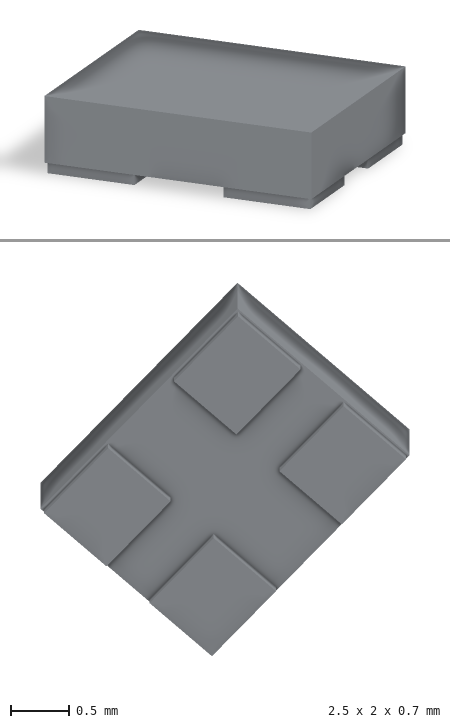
import cadquery as cq

LENGTH = 2.5
WIDTH = 2.0
TOTAL_HEIGHT = 0.7

PAD_LENGTH = 0.812
PAD_WIDTH = 0.725
PAD_THICKNESS = 0.1
PAD_INSET_X = 0.02
PAD_INSET_Y = 0.025

HOUSING_HEIGHT = TOTAL_HEIGHT - PAD_THICKNESS
PAD_CENTER_X = LENGTH / 2 - PAD_INSET_X - PAD_LENGTH / 2
PAD_CENTER_Y = WIDTH / 2 - PAD_INSET_Y - PAD_WIDTH / 2


def make_housing():
    """Plain block resting on top of the pads."""
    return (
        cq.Workplane("XY")
        .workplane(offset=PAD_THICKNESS)
        .rect(LENGTH, WIDTH)
        .extrude(HOUSING_HEIGHT)
    )


def make_pad(center_x, center_y):
    """Flat rectangular pad with its underside at Z = 0."""
    return (
        cq.Workplane("XY")
        .center(center_x, center_y)
        .rect(PAD_LENGTH, PAD_WIDTH)
        .extrude(PAD_THICKNESS)
    )


housing = make_housing()

pads = [
    make_pad(side_x * PAD_CENTER_X, side_y * PAD_CENTER_Y)
    for side_x in (-1, 1)
    for side_y in (-1, 1)
]

result = cq.Compound.makeCompound([housing.val(), *[pad.val() for pad in pads]])